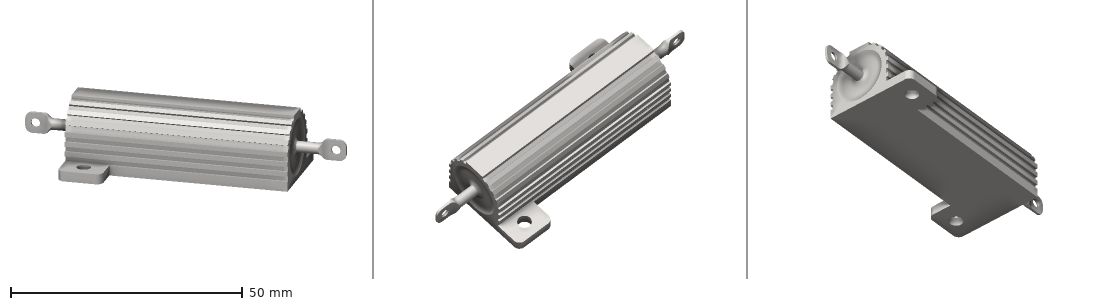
import cadquery as cq
import math

overall_length = 72.0
overall_width = 28.95
overall_height = 15.6

housing_length = 50.0
axis_height = 7.6
base_thickness = 2.3
outer_radius = 8.1
fin_height = 0.5
root_radius = outer_radius - fin_height
top_rib_width = 5.4

side_fin_pitch = 2.2
fin_width = side_fin_pitch / 2
side_fin_count = 3
first_shoulder_angle = 24.0
shoulder_fin_pitch = 17.0
shoulder_fin_count = 3

tab_length = 10.0
tab_corner_radius = 1.5
mount_hole_diameter = 3.2
mount_hole_offset_y = 10.7

recess_diameter = 12.75
recess_depth = 0.5
recess_curve_width = 1.3

rod_diameter = 2.5
rod_end = 29.7
lug_shoulder = 32.0
blade_start = 32.4
lug_height = 4.75
lug_corner_radius = 1.5
blade_thickness = 0.6
lug_hole_diameter = 2.0
lug_hole_offset = 33.7

half_length = overall_length / 2
half_housing = housing_length / 2
rod_radius = rod_diameter / 2


def half_turned(shape):
    """Copy of a shape turned to the opposite end and side of the part."""
    return shape.rotate((0, 0, 0), (0, 0, 1), 180)


def s_curve(sketch, start, end):
    """Add two equal tangent arcs that leave `start` and reach `end` parallel to X."""
    run = end[0] - start[0]
    rise = end[1] - start[1]
    radius = (run**2 + rise**2) / (4 * abs(rise))
    half_turn = math.asin(abs(run) / 2 / radius) / 2
    step_x = math.copysign(radius * math.sin(half_turn), run)
    step_y = math.copysign(radius * (1 - math.cos(half_turn)), rise)
    middle = (start[0] + run / 2, start[1] + rise / 2)
    first_arc_point = (start[0] + step_x, start[1] + step_y)
    second_arc_point = (end[0] - step_x, end[1] - step_y)
    return sketch.threePointArc(first_arc_point, middle).threePointArc(second_arc_point, end)


def housing_bar(width, bottom, top):
    """Full-length bar, centred across Y, between two heights."""
    bar_height = top - bottom
    bar = cq.Workplane("XY").box(housing_length, width, bar_height)
    return bar.translate((0, 0, bottom + bar_height / 2))


def make_core():
    """Upright-sided core whose top is faceted, with one flat between each pair of fins."""
    side_top = base_thickness + side_fin_count * side_fin_pitch
    corner_radius = root_radius / math.cos(math.radians(shoulder_fin_pitch / 2))
    corners = [(root_radius, 0), (root_radius, side_top)]
    for index in range(shoulder_fin_count + 1):
        angle = math.radians(first_shoulder_angle + index * shoulder_fin_pitch)
        corners.append((corner_radius * math.cos(angle), axis_height + corner_radius * math.sin(angle)))
    mirrored = [(-y, z) for y, z in reversed(corners)]
    return cq.Workplane("YZ").polyline(corners + mirrored).close().extrude(half_housing, both=True)


def make_finned_body():
    """Full-length section: core, base, top rib and cooling fins."""
    body = make_core()
    body = body.union(housing_bar(2 * outer_radius, 0, base_thickness))
    body = body.union(housing_bar(top_rib_width, axis_height, overall_height))

    for index in range(side_fin_count):
        top = base_thickness + (index + 1) * side_fin_pitch
        body = body.union(housing_bar(2 * outer_radius, top - fin_width, top))

    flat_fin = cq.Workplane("XY").box(housing_length, outer_radius, fin_width)
    flat_fin = flat_fin.translate((0, outer_radius / 2, 0))
    for index in range(shoulder_fin_count):
        angle = first_shoulder_angle + index * shoulder_fin_pitch
        for fin_angle in (angle, 180 - angle):
            fin = flat_fin.rotate((0, 0, 0), (1, 0, 0), fin_angle)
            body = body.union(fin.translate((0, 0, axis_height)))
    return body.clean()


def make_tab():
    """Mounting tab at the -X, -Y corner, with its hole."""
    tab_width = overall_width / 2 - root_radius
    tab_x = -half_housing + tab_length / 2
    mount_hole = (
        cq.Workplane("XY")
        .center(tab_x, -mount_hole_offset_y)
        .circle(mount_hole_diameter / 2)
        .extrude(base_thickness)
    )
    return (
        cq.Workplane("XY")
        .center(tab_x, -overall_width / 2 + tab_width / 2)
        .rect(tab_length, tab_width)
        .extrude(base_thickness)
        .edges("|Z and <Y")
        .fillet(tab_corner_radius)
        .cut(mount_hole)
    )


def make_end_recess():
    """Ring-shaped cut in the +X end, its floor curving up at the rod and at the rim."""
    floor = half_housing - recess_depth
    outer = recess_diameter / 2
    curve_radius = (recess_curve_width**2 + recess_depth**2) / (2 * recess_depth)
    half_angle = math.asin(recess_curve_width / curve_radius) / 2
    curve_middle = (
        floor + curve_radius * (1 - math.cos(half_angle)),
        rod_radius + recess_curve_width - curve_radius * math.sin(half_angle),
    )
    return (
        cq.Workplane("XY")
        .moveTo(floor, rod_radius + recess_curve_width)
        .lineTo(floor, outer - recess_curve_width)
        .tangentArcPoint((half_housing, outer), relative=False)
        .lineTo(half_housing, rod_radius)
        .threePointArc(curve_middle, (floor, rod_radius + recess_curve_width))
        .close()
        .revolve(360, (0, 0, 0), (1, 0, 0))
        .translate((0, 0, axis_height))
    )


def make_housing():
    """Finned body with a tab and a recess at each end."""
    tab = make_tab()
    recess = make_end_recess()
    body = make_finned_body()
    body = body.union(tab).union(half_turned(tab))
    return body.cut(recess).cut(half_turned(recess))


def make_turned_lead():
    """Rod that swells into a lug with rounded corners, turned about the X axis."""
    lug_radius = lug_height / 2
    corner_x = half_length - lug_corner_radius
    corner_z = lug_radius - lug_corner_radius
    corner_reach = lug_corner_radius * math.sqrt(0.5)
    profile = (
        cq.Workplane("XZ")
        .moveTo(half_housing, 0)
        .lineTo(half_housing, rod_radius)
        .lineTo(rod_end, rod_radius)
    )
    return (
        s_curve(profile, (rod_end, rod_radius), (lug_shoulder, lug_radius))
        .lineTo(corner_x, lug_radius)
        .threePointArc((corner_x + corner_reach, corner_z + corner_reach), (half_length, corner_z))
        .lineTo(half_length, 0)
        .close()
        .revolve(360, (0, 0, 0), (1, 0, 0))
    )


def make_flattening_cut():
    """Material pressed away on the +Y side of the lug, down to the blade."""
    half_blade = blade_thickness / 2
    profile = cq.Workplane("XY").moveTo(rod_end, rod_radius)
    return (
        s_curve(profile, (rod_end, rod_radius), (blade_start, half_blade))
        .lineTo(overall_length, half_blade)
        .lineTo(overall_length, lug_height)
        .lineTo(rod_end, lug_height)
        .close()
        .extrude(lug_height, both=True)
    )


def make_lead():
    """Lead at the +X end: a turned rod and lug, flattened across Y and drilled."""
    lug_hole = (
        cq.Workplane("XZ")
        .center(lug_hole_offset, 0)
        .circle(lug_hole_diameter / 2)
        .extrude(rod_diameter, both=True)
    )
    flattening_cut = make_flattening_cut()
    return (
        make_turned_lead()
        .cut(flattening_cut)
        .cut(flattening_cut.mirror("XZ"))
        .cut(lug_hole)
        .translate((0, 0, axis_height))
    )


housing = make_housing()

lead_angles = (0, 180)
leads = [make_lead().rotate((0, 0, 0), (0, 0, 1), angle) for angle in lead_angles]

result = cq.Compound.makeCompound([housing.val(), *[lead.val() for lead in leads]])